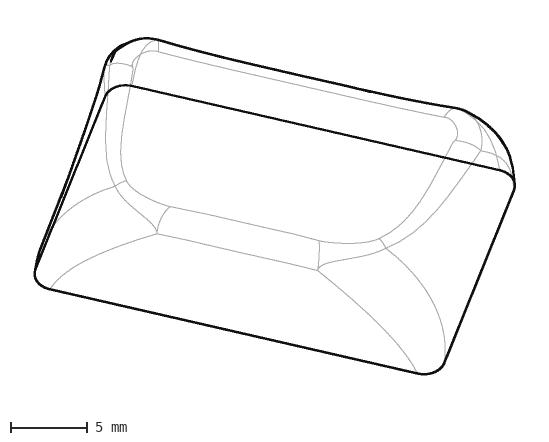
import cadquery as cq

LENGTH = 27.88
WIDTH = 18.4
BASE_CORNER = 1.4

LOFT_HEIGHT = 8.92
TOP_FRONT_HALF = 4.75
TOP_BACK_HALF = 13.38
TOP_FRONT_Y = -7.8
TOP_BACK_Y = 6.4
TOP_FRONT_CORNER = 5.02
TOP_BACK_CORNER = 2.5
WALL_LEVELS = 6
WALL_CURVE = 2.2

DISH_FLOOR = 6.95
TROUGH_Y = 1.67
TROUGH_CURVE = 0.01542
FLAT_HALF = 4.75
END_CURVE = 0.02618
END_LEVEL_Y = -1.4
END_FULL_Y = 5.58
DISH_MARGIN = 1.4
DISH_STEPS_X = 32
DISH_STEPS_Y = 16
SURFACE_TOLERANCE = 0.1

SELECT_TOLERANCE = 0.003

RIM_RADIUS = 1.4


def blend(start, end, amount):
    return start + (end - start) * amount


def wall_section(level):
    """Rounded trapezoid outline of the walls at a fraction of the loft height."""
    lean = level ** WALL_CURVE
    front_half = blend(LENGTH / 2, TOP_FRONT_HALF, lean)
    back_half = blend(LENGTH / 2, TOP_BACK_HALF, lean)
    front_y = blend(-WIDTH / 2, TOP_FRONT_Y, lean)
    back_y = blend(WIDTH / 2, TOP_BACK_Y, lean)
    corners = [
        (-front_half, front_y),
        (front_half, front_y),
        (back_half, back_y),
        (-back_half, back_y),
    ]
    outline = cq.Workplane("XY").workplane(offset=level * LOFT_HEIGHT).polyline(corners).close()
    wire = outline.val()
    front = [v for v in wire.Vertices() if v.Y < 0]
    wire = wire.fillet2D(blend(BASE_CORNER, TOP_FRONT_CORNER, level), front)
    back = [v for v in wire.Vertices() if v.Y > back_y - SELECT_TOLERANCE]
    return wire.fillet2D(blend(BASE_CORNER, TOP_BACK_CORNER, level), back)


def dish_height(x, y):
    trough = DISH_FLOOR + TROUGH_CURVE * (y - TROUGH_Y) ** 2
    beyond_flat = max(abs(x) - FLAT_HALF, 0)
    back_share = (y - END_LEVEL_Y) / (END_FULL_Y - END_LEVEL_Y)
    return trough + END_CURVE * beyond_flat ** 2 * back_share


def dish_cutter():
    """Everything above the dished top surface."""
    half_x = LENGTH / 2 + DISH_MARGIN
    half_y = WIDTH / 2 + DISH_MARGIN
    grid = []
    for i in range(DISH_STEPS_X + 1):
        x = blend(-half_x, half_x, i / DISH_STEPS_X)
        ys = [blend(-half_y, half_y, j / DISH_STEPS_Y) for j in range(DISH_STEPS_Y + 1)]
        grid.append([cq.Vector(x, y, dish_height(x, y)) for y in ys])
    surface = cq.Face.makeSplineApprox(grid, tol=SURFACE_TOLERANCE, minDeg=3, maxDeg=5)
    return cq.Solid.extrudeLinear(surface, cq.Vector(0, 0, LOFT_HEIGHT))


sections = [wall_section(i / WALL_LEVELS) for i in range(WALL_LEVELS + 1)]
walls = cq.Workplane(cq.Solid.makeLoft(sections))
body = walls.cut(cq.Workplane(dish_cutter()))

result = body.faces(">Z").edges().fillet(RIM_RADIUS).solids()